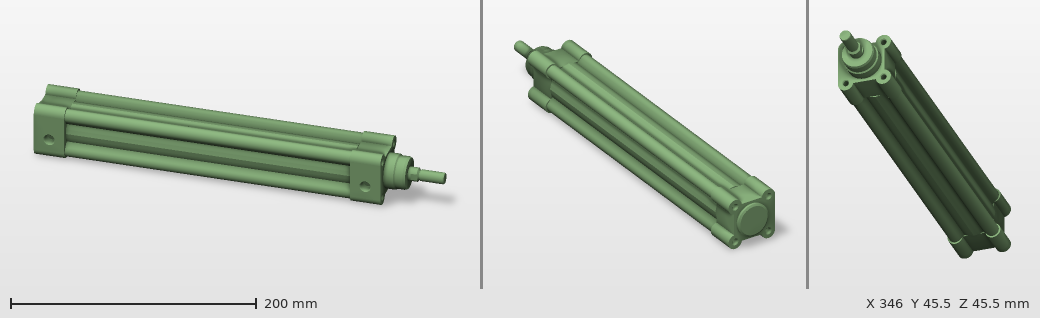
import cadquery as cq
import math

LENGTH = 346.0
BOSS_LENGTH = 3.0
CAP_LENGTH = 26.0
BARREL_LENGTH = 243.0

REAR_CAP_X = BOSS_LENGTH
BARREL_X = REAR_CAP_X + CAP_LENGTH
FRONT_CAP_X = BARREL_X + BARREL_LENGTH
COLLAR_X = FRONT_CAP_X + CAP_LENGTH

CAP_WIDTH = 45.5
LOBE_RADIUS = 6.5
LOBE_OFFSET = CAP_WIDTH / 2 - LOBE_RADIUS
WAIST_OFFSET = 17.3
CORNERS = [(y, z) for y in (-LOBE_OFFSET, LOBE_OFFSET) for z in (-LOBE_OFFSET, LOBE_OFFSET)]

SCREW_RADIUS = 2.5
SCREW_MOUTH_RADIUS = 3.0
SCREW_DEPTH = 14.0

PORT_DIAMETER = 8.3
PORT_MOUTH_DIAMETER = 9.7
PORT_DEPTH = 8.5
PORT_Z = -5.2

BOSS_RADIUS = 15.0
BOSS_CHAMFER_LENGTH = 1.0
BOSS_FACE_RADIUS = 13.0
COLLAR_LENGTH = 9.5
COLLAR_CHAMFER = 1.0
NOSE_RADIUS = BOSS_RADIUS - COLLAR_CHAMFER
NOSE_LENGTH = 8.5
NOSE_CHAMFER_LENGTH = 2.0
NOSE_CHAMFER_DROP = 0.7
NOSE_END_X = COLLAR_X + COLLAR_LENGTH + NOSE_LENGTH

BARREL_RADIUS = 18.0
RIB_WIDTH = 11.0
RIB_OFFSET = 16.0
RIDGE_HALF_WIDTH = 3.8

ROD_RADIUS = 6.0
FLAT_OFFSET = 5.2
FLAT_X = 318.3
SHOULDER_X = 323.5
THREAD_X = 326.0
THREAD_RADIUS = 5.0
THREAD_CHAMFER_LENGTH = 1.0
THREAD_CHAMFER_DROP = 0.5
NECK_RADIUS = 4.0
NECK_LENGTH = 1.0


def disc(x, radius, length):
    """Cylinder on the X axis, starting at x."""
    return cq.Workplane("YZ", origin=(x, 0, 0)).circle(radius).extrude(length)


def turned(profile):
    """Solid of revolution about X from (x, radius) points."""
    return cq.Workplane("XY").polyline(profile).close().revolve(360, (0, 0, 0), (1, 0, 0))


def cap_block(x):
    """Lobed block of an end cap, with one flat side facing -Y."""
    plane = cq.Workplane("YZ", origin=(x, 0, 0))
    core = plane.rect(2 * WAIST_OFFSET, 2 * WAIST_OFFSET).extrude(CAP_LENGTH)
    lobes = plane.pushPoints(CORNERS).circle(LOBE_RADIUS).extrude(CAP_LENGTH)
    flat_side_depth = CAP_WIDTH / 2
    flat_side = (
        plane.center(-flat_side_depth / 2, 0)
        .rect(flat_side_depth, 2 * LOBE_OFFSET)
        .extrude(CAP_LENGTH)
    )
    return core.union(lobes).union(flat_side).cut(air_port(x + CAP_LENGTH / 2))


def countersunk_hole(radius, mouth_radius, depth):
    """Tool for a blind hole that enters along +X, with a 45 degree mouth at the origin."""
    profile = [
        (0, 0),
        (0, mouth_radius),
        (mouth_radius - radius, radius),
        (depth, radius),
        (depth, 0),
    ]
    return turned(profile)


def air_port(x):
    """Blind port drilled inward from the -Y face."""
    port = countersunk_hole(PORT_DIAMETER / 2, PORT_MOUTH_DIAMETER / 2, PORT_DEPTH)
    return port.rotate((0, 0, 0), (0, 0, 1), 90).translate((x, -CAP_WIDTH / 2, PORT_Z))


def screw_holes(x, angle):
    """Four blind holes drilled from the face at x; an angle of 180 drills toward -X."""
    hole = countersunk_hole(SCREW_RADIUS, SCREW_MOUTH_RADIUS, SCREW_DEPTH)
    hole = hole.rotate((0, 0, 0), (0, 0, 1), angle)
    holes = cq.Workplane("XY")
    for y, z in CORNERS:
        holes = holes.add(hole.translate((x, y, z)))
    return holes.combine()


def make_rear_cap():
    profile = [
        (0, 0),
        (0, BOSS_FACE_RADIUS),
        (BOSS_CHAMFER_LENGTH, BOSS_RADIUS),
        (BOSS_LENGTH, BOSS_RADIUS),
        (BOSS_LENGTH, 0),
    ]
    boss = turned(profile)
    return cap_block(REAR_CAP_X).union(boss).cut(screw_holes(REAR_CAP_X, 0))


def make_front_cap():
    collar = disc(COLLAR_X, BOSS_RADIUS, COLLAR_LENGTH).faces(">X").chamfer(COLLAR_CHAMFER)
    nose = (
        disc(COLLAR_X + COLLAR_LENGTH, NOSE_RADIUS, NOSE_LENGTH)
        .faces(">X")
        .chamfer(NOSE_CHAMFER_LENGTH, NOSE_CHAMFER_DROP)
    )
    rod_bore = disc(FRONT_CAP_X, ROD_RADIUS, NOSE_END_X - FRONT_CAP_X)
    body = cap_block(FRONT_CAP_X).union(collar).union(nose)
    return body.cut(screw_holes(COLLAR_X, 180)).cut(rod_bore)


def make_barrel():
    barrel = disc(BARREL_X, BARREL_RADIUS, BARREL_LENGTH)
    plane = cq.Workplane("YZ", origin=(BARREL_X, 0, 0))

    rib_span = 2 * math.hypot(RIB_OFFSET, RIB_OFFSET) + RIB_WIDTH
    for angle in (45, 135):
        barrel = barrel.union(plane.slot2D(rib_span, RIB_WIDTH, angle).extrude(BARREL_LENGTH))

    ridge_base = math.sqrt(BARREL_RADIUS**2 - RIDGE_HALF_WIDTH**2)
    ridge_top = BARREL_RADIUS**2 / ridge_base
    ridge_outline = [
        (-RIDGE_HALF_WIDTH, 0),
        (-RIDGE_HALF_WIDTH, ridge_base),
        (0, ridge_top),
        (RIDGE_HALF_WIDTH, ridge_base),
        (RIDGE_HALF_WIDTH, 0),
    ]
    ridge = plane.polyline(ridge_outline).close().extrude(BARREL_LENGTH)
    for quarter in range(4):
        barrel = barrel.union(ridge.rotate((0, 0, 0), (1, 0, 0), 90 * quarter))
    return barrel


def make_rod():
    profile = [
        (FRONT_CAP_X, 0),
        (FRONT_CAP_X, ROD_RADIUS),
        (SHOULDER_X, ROD_RADIUS),
        (THREAD_X - NECK_LENGTH, NECK_RADIUS),
        (THREAD_X, NECK_RADIUS),
        (THREAD_X, THREAD_RADIUS),
        (LENGTH - THREAD_CHAMFER_LENGTH, THREAD_RADIUS),
        (LENGTH, THREAD_RADIUS - THREAD_CHAMFER_DROP),
        (LENGTH, 0),
    ]
    rod = turned(profile)

    flat_length = THREAD_X - FLAT_X
    for side in (-1, 1):
        cutter = cq.Workplane("XY").box(flat_length, ROD_RADIUS, 2 * ROD_RADIUS).translate(
            (FLAT_X + flat_length / 2, side * (FLAT_OFFSET + ROD_RADIUS / 2), 0)
        )
        rod = rod.cut(cutter)
    return rod


rear_cap = make_rear_cap()
barrel = make_barrel()
front_cap = make_front_cap()
rod = make_rod()

result = cq.Compound.makeCompound([rear_cap.val(), barrel.val(), front_cap.val(), rod.val()])